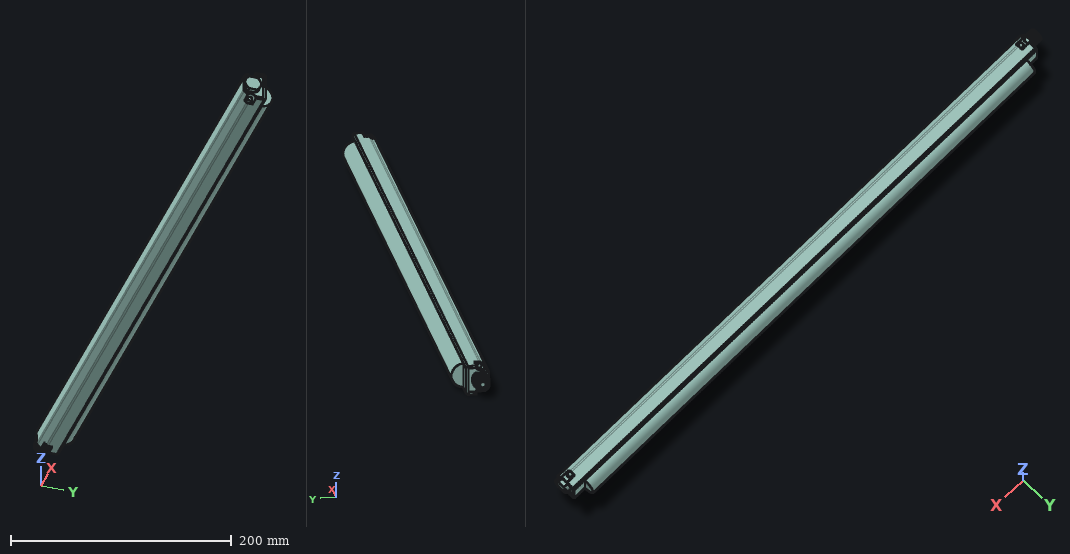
import cadquery as cq

length = 609.0
depth = 32.0
height = 28.0
x_min = -length / 2
x_max = length / 2
y_back = -depth / 2
y_crown = depth / 2

connector_length = 9.0
plug_length = 3.5
lens_inset = 13.5
groove_length = 10.0
plug_start = x_min + connector_length
housing_start = plug_start + plug_length
housing_end = x_max - plug_length
lens_start = housing_start + lens_inset
lens_end = housing_end - lens_inset

back_chamfer = 7.0
front_chamfer = 2.0
y_front = 5.2
edge_radius = 2.5
rim_width = 2.5
recess_depth = 1.0

lens_radius = 11.5
lens_axis_y = y_crown - lens_radius

axis_y = -8.2
plug_diameter = 15.0
plug_flats = 13.5
connector_diameter = 12.0
socket_diameter = 9.0
socket_depth = 6.0
insert_diameter = 5.5
thread_pitch = 2.0
thread_width = 0.9
thread_depth = 0.5
thread_count = 4

groove_radius = 3.95
groove_axis_z = 13.0
screw_head_diameter = 4.0
screw_head_length = 4.0
screw_axis_z = 11.5


def rod(x_start, x_stop, y_axis, diameter, z_axis=0.0):
    """Cylinder along X between two X positions."""
    return (
        cq.Workplane("YZ", origin=(x_start, y_axis, z_axis))
        .circle(diameter / 2)
        .extrude(x_stop - x_start)
    )


def housing(x_start, x_stop):
    """Chamfered bar section with rounded back edges."""
    half = height / 2
    upper = [
        (y_back, half - back_chamfer),
        (y_back + back_chamfer, half),
        (y_front - front_chamfer, half),
        (y_front, half - front_chamfer),
    ]
    lower = [(y, -z) for y, z in reversed(upper)]
    section = cq.Workplane("YZ", origin=(x_start, 0, 0)).polyline(upper + lower).close()
    bar = section.extrude(x_stop - x_start)
    back_side = cq.selectors.BoxSelector((x_start, -depth, -height), (x_stop, axis_y, height))
    bar = bar.edges("|X").edges(back_side).fillet(edge_radius)
    for end_face in ("<X", ">X"):
        outline = bar.faces(end_face).wires().toPending().workplane()
        bar = outline.offset2D(-rim_width).cutBlind(-recess_depth)
    return bar


def groove_rods(x_start, x_stop, diameter, z_axis):
    """Pair of rods along X, one near the top and one near the bottom of the housing."""
    upper = rod(x_start, x_stop, axis_y, diameter, z_axis)
    return upper.union(upper.mirror("XY"))


def connector():
    """Threaded round connector with an annular socket around its insert."""
    body = rod(x_min, plug_start, axis_y, connector_diameter)
    for i in range(thread_count):
        groove_start = x_min + thread_width + i * thread_pitch
        groove_stop = groove_start + thread_width
        ring = rod(groove_start, groove_stop, axis_y, connector_diameter)
        core = rod(groove_start, groove_stop, axis_y, connector_diameter - 2 * thread_depth)
        body = body.cut(ring.cut(core))
    socket = rod(x_min, x_min + socket_depth, axis_y, socket_diameter)
    insert = rod(x_min, x_min + socket_depth, axis_y, insert_diameter)
    return body.cut(socket.cut(insert))


housing_bar = housing(housing_start, housing_end)
lens = rod(lens_start, lens_end, lens_axis_y, 2 * lens_radius)
result = housing_bar.union(lens)

left_groove_end = housing_start + groove_length
right_groove_end = housing_end - groove_length
groove_diameter = 2 * groove_radius
result = result.cut(groove_rods(housing_start, left_groove_end, groove_diameter, groove_axis_z))
result = result.cut(groove_rods(right_groove_end, housing_end, groove_diameter, groove_axis_z))
head_left = left_groove_end - screw_head_length
head_right = right_groove_end + screw_head_length
result = result.union(groove_rods(head_left, left_groove_end, screw_head_diameter, screw_axis_z))
result = result.union(groove_rods(right_groove_end, head_right, screw_head_diameter, screw_axis_z))

plug = rod(plug_start, x_max, axis_y, plug_diameter)
plug = plug.intersect(cq.Workplane().box(length, depth, plug_flats))
result = result.union(plug).union(connector())